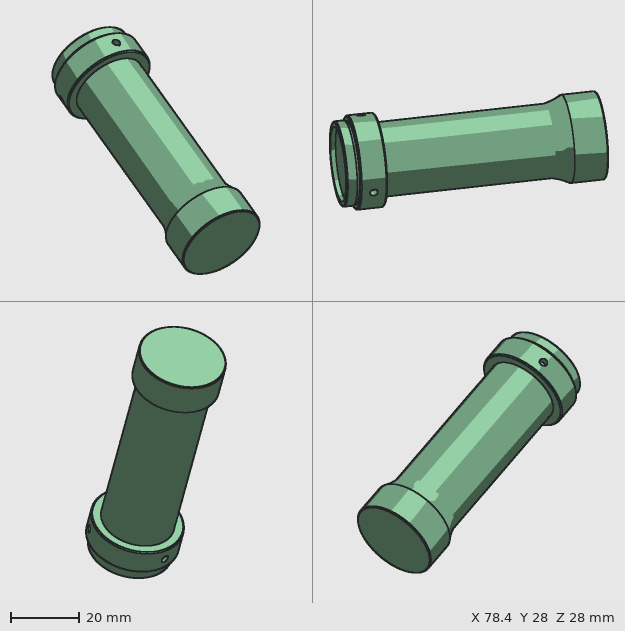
import cadquery as cq
import math

length = 78.4
groove_start = 3.1
collar_start = 3.85
collar_end = 11.9
flare_start = 62.95
flare_end = 68.3
flare_sag = 0.2

rim_diameter = 25.3
groove_diameter = 24.85
collar_diameter = 28.0
tube_diameter = 22.1
head_diameter = 26.2

rim_chamfer = 0.3
collar_chamfer = 0.4
head_chamfer = 0.3

lens_diameter = 22.1
lens_recess = 1.5
lens_rise = 1.0

hole_count = 3
hole_diameter = 2.35
hole_depth = 2.35
first_hole_angle = 70.0


def disc(start, end, diameter):
    """Solid cylinder along X between two stations."""
    return cq.Workplane("YZ", origin=(start, 0, 0)).circle(diameter / 2).extrude(end - start)


def flare():
    """Concave transition, widening from the tube to the head."""
    tube_radius = tube_diameter / 2
    head_radius = head_diameter / 2
    middle = ((flare_start + flare_end) / 2, (tube_radius + head_radius) / 2 - flare_sag)
    return (
        cq.Workplane("XY")
        .moveTo(flare_start, 0)
        .lineTo(flare_start, tube_radius)
        .threePointArc(middle, (flare_end, head_radius))
        .lineTo(flare_end, 0)
        .close()
        .revolve(360, (0, 0, 0), (1, 0, 0))
    )


def lens_recess_cut():
    """Round recess whose floor rises as a shallow cone towards the axis."""
    return (
        cq.Workplane("XY")
        .lineTo(lens_recess - lens_rise, 0)
        .lineTo(lens_recess, lens_diameter / 2)
        .lineTo(0, lens_diameter / 2)
        .close()
        .revolve(360, (0, 0, 0), (1, 0, 0))
    )


def screw_hole(angle):
    """Blind radial hole in the middle of the collar."""
    angle = math.radians(angle)
    outward = cq.Vector(0, math.cos(angle), math.sin(angle))
    middle = cq.Vector((collar_start + collar_end) / 2, 0, 0)
    floor = middle + outward * (collar_diameter / 2 - hole_depth)
    return cq.Solid.makeCylinder(hole_diameter / 2, 2 * hole_depth, floor, outward)


rim = disc(0, groove_start, rim_diameter).faces("<X").edges().chamfer(rim_chamfer)
groove = disc(groove_start, collar_start, groove_diameter)
collar = disc(collar_start, collar_end, collar_diameter).edges().chamfer(collar_chamfer)
tube = disc(collar_end, flare_start, tube_diameter)
head = disc(flare_end, length, head_diameter).faces(">X").edges().chamfer(head_chamfer)

result = rim.union(groove).union(collar).union(tube).union(flare()).union(head)
result = result.cut(lens_recess_cut())
for index in range(hole_count):
    result = result.cut(cq.Workplane(screw_hole(first_hole_angle + index * 360 / hole_count)))